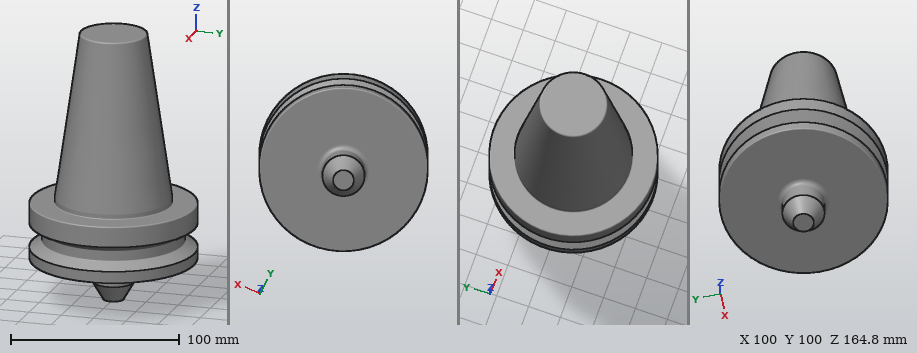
import cadquery as cq
import math


gauge_diameter = 69.85
taper_length = 101.8
taper_ratio = 7 / 24
shank_edge_radius = 1.0
gauge_blend_radius = 2.0

collar_height = 3.0
collar_fillet = 0.6

flange_diameter = 100.0
flange_thickness = 35.0
flange_edge_radius = 0.8
upper_rim_height = 12.6
groove_root_diameter = 85.0
groove_root_width = 6.4
groove_root_fillet = 0.5
groove_flank_angle = 30.0

nose_diameter = 25.0
nose_length = 25.0
nose_fillet = 3.0
nose_cone_length = 11.0
nose_cone_angle = 30.0

gauge_radius = gauge_diameter / 2
shank_end_radius = gauge_radius - taper_length * taper_ratio / 2
flange_radius = flange_diameter / 2
groove_root_radius = groove_root_diameter / 2
groove_flank_height = (flange_radius - groove_root_radius) * math.tan(math.radians(groove_flank_angle))
nose_radius = nose_diameter / 2
nose_tip_radius = nose_radius - nose_cone_length * math.tan(math.radians(nose_cone_angle))

shank_end_z = taper_length
gauge_z = 0.0
flange_top_z = gauge_z - collar_height
groove_top_z = flange_top_z - upper_rim_height
groove_root_top_z = groove_top_z - groove_flank_height
groove_root_bottom_z = groove_root_top_z - groove_root_width
groove_bottom_z = groove_root_bottom_z - groove_flank_height
flange_bottom_z = flange_top_z - flange_thickness
nose_tip_z = flange_bottom_z - nose_length
nose_cone_top_z = nose_tip_z + nose_cone_length

SHARP = 0.0

shank_corners = [
    (0.0, shank_end_z, SHARP),
    (shank_end_radius, shank_end_z, shank_edge_radius),
    (gauge_radius, gauge_z, gauge_blend_radius),
    (gauge_radius, flange_top_z, collar_fillet),
]
flange_corners = [
    (flange_radius, flange_top_z, flange_edge_radius),
    (flange_radius, groove_top_z, SHARP),
    (groove_root_radius, groove_root_top_z, groove_root_fillet),
    (groove_root_radius, groove_root_bottom_z, groove_root_fillet),
    (flange_radius, groove_bottom_z, SHARP),
    (flange_radius, flange_bottom_z, flange_edge_radius),
]
nose_corners = [
    (nose_radius, flange_bottom_z, nose_fillet),
    (nose_radius, nose_cone_top_z, SHARP),
    (nose_tip_radius, nose_tip_z, SHARP),
    (0.0, nose_tip_z, SHARP),
]


def rounded_corner(before, corner, after, rounding):
    """Start, middle and end of the arc of radius `rounding` tangent to both sides of a corner."""
    to_before = (before - corner).normalized()
    to_after = (after - corner).normalized()
    half_angle = to_before.getAngle(to_after) / 2
    tangent_length = rounding / math.tan(half_angle)
    middle_distance = rounding / math.sin(half_angle) - rounding
    bisector = (to_before + to_after).normalized()
    return (
        corner + to_before * tangent_length,
        corner + bisector * middle_distance,
        corner + to_after * tangent_length,
    )


def half_section(corners):
    """Closed half section in the XZ plane; the first and last corner lie on the axis."""
    points = [cq.Vector(radius, z) for radius, z, _ in corners]
    outline = cq.Workplane("XZ").moveTo(points[0].x, points[0].y)
    for index in range(1, len(corners) - 1):
        rounding = corners[index][2]
        if rounding == SHARP:
            outline = outline.lineTo(points[index].x, points[index].y)
            continue
        start, middle, end = rounded_corner(points[index - 1], points[index], points[index + 1], rounding)
        outline = outline.lineTo(start.x, start.y)
        outline = outline.threePointArc((middle.x, middle.y), (end.x, end.y))
    return outline.lineTo(points[-1].x, points[-1].y).close()


section = half_section(shank_corners + flange_corners + nose_corners)
result = section.revolve(360, (0, 0, 0), (0, 1, 0))